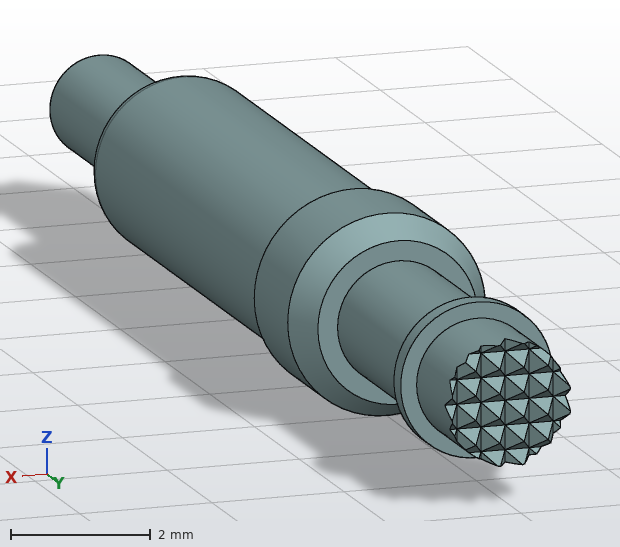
import cadquery as cq
import math


total_length = 19.2
tail_length = 4.09
barrel_length = 8.0
collar_length = 2.0
collar_chamfer_length = 0.5
ring_thickness = 0.3
ring_to_crown_end = 1.57

tail_diameter = 1.5
barrel_diameter = 2.65
barrel_fillet = 0.4
collar_diameter = 3.0
collar_chamfer_depth = 0.29
plunger_diameter = 1.82
ring_diameter = 2.3

teeth_across = 6
groove_angle = 60

barrel_start = -barrel_length
tail_tip = barrel_start - tail_length
crown_end = tail_tip + total_length
ring_end = crown_end - ring_to_crown_end
ring_start = ring_end - ring_thickness

tooth_pitch = plunger_diameter / (teeth_across - 1)
groove_depth = tooth_pitch / 2 / math.tan(math.radians(groove_angle / 2))


def rod(diameter, start, end):
    """Solid cylinder on the Y axis between two Y positions."""
    base = cq.Workplane("XZ", origin=(0, start, 0))
    return base.circle(diameter / 2).extrude(start - end)


def pointed_tail():
    """Tail pin ending in a 90 degree cone."""
    radius = tail_diameter / 2
    profile = (
        cq.Workplane("XY")
        .moveTo(0, tail_tip)
        .lineTo(radius, tail_tip + radius)
        .lineTo(radius, barrel_start)
        .lineTo(0, barrel_start)
        .close()
    )
    return profile.revolve(360, (0, 0, 0), (0, 1, 0))


def barrel():
    """Main body with its tail end rounded."""
    return rod(barrel_diameter, barrel_start, 0).faces("<Y").edges().fillet(barrel_fillet)


def collar():
    """Press-fit collar with a tapered crown side."""
    radius = collar_diameter / 2
    profile = (
        cq.Workplane("XY")
        .lineTo(radius, 0)
        .lineTo(radius, collar_length - collar_chamfer_length)
        .lineTo(radius - collar_chamfer_depth, collar_length)
        .lineTo(0, collar_length)
        .close()
    )
    return profile.revolve(360, (0, 0, 0), (0, 1, 0))


def groove_set():
    """Parallel V grooves along Z that meet in sharp ridges at the crown end."""
    floor = crown_end - groove_depth
    outline = cq.Workplane("XY").moveTo(-plunger_diameter / 2, crown_end)
    for groove in range(teeth_across - 1):
        ridge_x = -plunger_diameter / 2 + groove * tooth_pitch
        outline = outline.lineTo(ridge_x + tooth_pitch / 2, floor)
        outline = outline.lineTo(ridge_x + tooth_pitch, crown_end)
    outline = outline.lineTo(plunger_diameter / 2, crown_end + groove_depth)
    outline = outline.lineTo(-plunger_diameter / 2, crown_end + groove_depth)
    return outline.close().extrude(plunger_diameter, both=True)


def plunger():
    """Plunger rod with a stop ring and a serrated crown."""
    shaft = rod(plunger_diameter, collar_length, crown_end)
    grooves = groove_set()
    crossing_grooves = grooves.rotate((0, 0, 0), (0, 1, 0), 90)
    serrated = shaft.cut(grooves).cut(crossing_grooves)
    return serrated.union(rod(ring_diameter, ring_start, ring_end))


result = pointed_tail().union(barrel()).union(collar()).union(plunger())